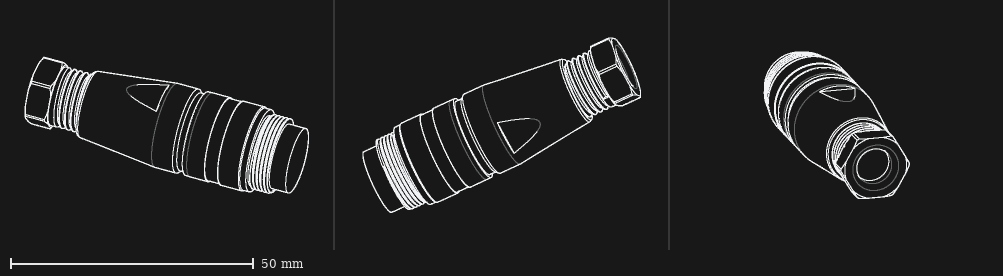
import cadquery as cq
import math

total_length = 57.3

nut_length = 4.9
nut_across_flats = 12.95
nut_corner_radius = 7.35
nut_face_radius = 6.65
nut_chamfer_length = 0.4
bore_radius = 3.8
bore_mouth_round = 1.15
bore_depth = 3.25

shank_crest_radius = 6.25
shank_root_radius = 5.6
shank_pitch = 1.25
shank_groove_start = 5.75
shank_groove_start_angle = -110.0
coupling_crest_radius = 8.0
coupling_root_radius = 7.5
coupling_pitch = 0.8
coupling_thread_start = 49.8
coupling_thread_end = 53.7
groove_overrun = 0.05
crest_width = 0.07

sleeve_start = 11.3
sleeve_edge_length = 0.45
sleeve_edge_radius = 6.9
sleeve_small_radius = 7.1
sleeve_end = 28.65
flat_height = 8.0
flat_end = 27.8

body_radius = 9.0
lip_diameter = 17.95
groove_chamfer_start = 33.25
groove_start = 33.9
groove_end = 35.35
groove_diameter = 16.7
lip_end = 36.3
shallow_groove_start = 40.2
shallow_groove_end = 43.1
shallow_diameter = 17.6
rear_band_end = 47.7
rear_chamfer_length = 0.25
body_end = 49.2

plug_diameter = 13.8


def cylinder(start, end, radius):
    """Solid cylinder on the X axis between two X positions."""
    return cq.Workplane("YZ").workplane(offset=start).circle(radius).extrude(end - start)


def revolve_profile(points):
    """Solid of revolution about X from (x, radius) points."""
    axis_points = [(points[0][0], 0), *points, (points[-1][0], 0)]
    return cq.Workplane("XY").polyline(axis_points).close().revolve(360, (0, 0, 0), (1, 0, 0))


def thread_groove(start, end, pitch, crest_radius, root_radius, start_angle):
    """Right-hand V groove about X; the angle is measured from +Y towards +Z."""
    outer_radius = crest_radius + groove_overrun
    half_width = (pitch - crest_width) / 2
    helix = cq.Wire.makeHelix(pitch, end - start, root_radius)
    groove = (
        cq.Workplane("XZ")
        .polyline([(root_radius, 0), (outer_radius, half_width), (outer_radius, -half_width)])
        .close()
        .sweep(cq.Workplane(helix), isFrenet=True)
    )
    groove = groove.rotate((0, 0, 0), (0, 1, 0), 90)
    return groove.rotate((0, 0, 0), (1, 0, 0), start_angle + 90).translate((start, 0, 0))


def make_nut():
    across_corners = nut_across_flats / math.cos(math.radians(30))
    hexagon = cq.Workplane("YZ").polygon(6, across_corners).extrude(nut_length)
    envelope = revolve_profile([
        (0, nut_face_radius),
        (nut_chamfer_length, nut_corner_radius),
        (nut_length - nut_chamfer_length, nut_corner_radius),
        (nut_length, nut_face_radius),
    ])
    return hexagon.intersect(envelope)


def make_shank():
    groove = thread_groove(
        shank_groove_start, sleeve_start + shank_pitch, shank_pitch,
        shank_crest_radius, shank_root_radius, shank_groove_start_angle,
    )
    return cylinder(nut_length, sleeve_end, shank_crest_radius).cut(groove)


def make_body():
    return revolve_profile([
        (sleeve_start, sleeve_edge_radius),
        (sleeve_start + sleeve_edge_length, sleeve_small_radius),
        (sleeve_end, body_radius),
        (groove_chamfer_start, body_radius),
        (groove_start, groove_diameter / 2),
        (groove_end, groove_diameter / 2),
        (groove_end, lip_diameter / 2),
        (lip_end, body_radius),
        (shallow_groove_start, body_radius),
        (shallow_groove_start, shallow_diameter / 2),
        (shallow_groove_end, shallow_diameter / 2),
        (shallow_groove_end, body_radius),
        (rear_band_end, body_radius),
        (rear_band_end + rear_chamfer_length, shallow_diameter / 2),
        (body_end, shallow_diameter / 2),
    ])


def cut_wrench_flats(body):
    flat_length = flat_end - sleeve_start
    for side in (1, -1):
        cutter = cq.Workplane("XY").box(
            flat_length, 2 * body_radius, body_radius, centered=(False, True, True)
        )
        body = body.cut(cutter.translate((sleeve_start, 0, side * (flat_height + body_radius / 2))))
    return body


def make_coupling():
    groove = thread_groove(
        coupling_thread_start, coupling_thread_end, coupling_pitch,
        coupling_crest_radius, coupling_root_radius, 0,
    )
    thread = cylinder(coupling_thread_start, coupling_thread_end, coupling_crest_radius).cut(groove)
    neck = cylinder(body_end, coupling_thread_start, coupling_root_radius)
    plug = cylinder(coupling_thread_end, total_length, plug_diameter / 2)
    return neck.union(thread).union(plug)


def make_cable_bore():
    """Blind bore whose mouth is rounded over to the nut face."""
    mouth_radius = bore_radius + bore_mouth_round
    mouth_middle = bore_mouth_round * (1 - math.sqrt(0.5))
    return (
        cq.Workplane("XY")
        .lineTo(0, mouth_radius)
        .threePointArc((mouth_middle, bore_radius + mouth_middle), (bore_mouth_round, bore_radius))
        .lineTo(bore_depth, bore_radius)
        .lineTo(bore_depth, 0)
        .close()
        .revolve(360, (0, 0, 0), (1, 0, 0))
    )


result = (
    cut_wrench_flats(make_body())
    .union(make_shank())
    .union(make_nut())
    .union(make_coupling())
    .cut(make_cable_bore())
)